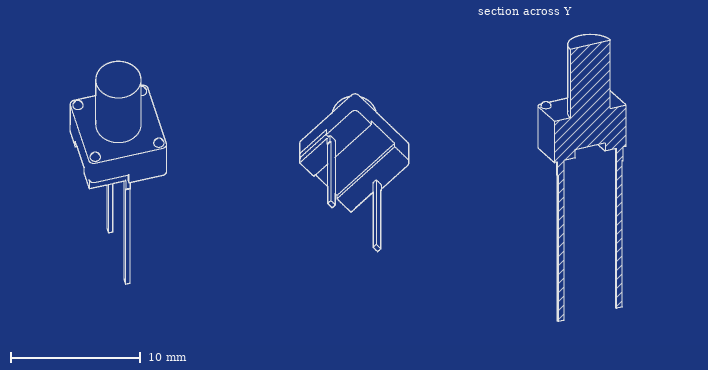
import cadquery as cq

total_height = 23.28
housing_side = 6.2
housing_height = 3.59
corner_radius = 0.4
plunger_diameter = 3.5
plunger_height = 5.91

stud_radius = 0.4
stud_spacing = 5.08

recess_height = 1.05
recess_depth = 0.25

channel_width = 2.55
channel_height = 0.7

leg_length = total_height - plunger_height - housing_height
leg_thickness = 0.35
leg_inner_x = 2.25
shoulder_outer_x = housing_side / 2 - recess_depth
shoulder_step = 0.07
shoulder_length = 1.19


def box_between(low, high):
    """Axis-aligned box between two opposite corners."""
    size = [b - a for a, b in zip(low, high)]
    return cq.Workplane("XY").box(*size, centered=False).translate(low)


def make_housing():
    half = housing_side / 2
    inner_half = half - recess_depth
    housing = (
        cq.Workplane("XY")
        .rect(housing_side, housing_side)
        .extrude(housing_height)
        .edges("|Z")
        .fillet(corner_radius)
    )
    lower_front = box_between((-half, -half, 0), (half, 0, recess_height))
    narrow_block = box_between((-inner_half, -half, 0), (inner_half, 0, recess_height))
    housing = housing.cut(lower_front).union(narrow_block)
    channel = box_between(
        (-channel_width / 2, -half, 0), (channel_width / 2, half, channel_height)
    )
    return housing.cut(channel)


def make_plunger():
    return (
        cq.Workplane("XY")
        .workplane(offset=housing_height)
        .circle(plunger_diameter / 2)
        .extrude(plunger_height)
    )


def make_studs():
    return (
        cq.Workplane("XY")
        .workplane(offset=housing_height)
        .rarray(stud_spacing, stud_spacing, 2, 2)
        .sphere(stud_radius)
    )


def make_leg():
    """Leg on the +X side."""
    half = leg_thickness / 2
    blade_outer_x = shoulder_outer_x - shoulder_step
    blade = box_between((leg_inner_x, -half, -leg_length), (blade_outer_x, half, 0))
    shoulder = box_between((leg_inner_x, -half, -shoulder_length), (shoulder_outer_x, half, 0))
    return blade.union(shoulder)


leg = make_leg()
result = (
    make_housing()
    .union(make_plunger())
    .union(make_studs())
    .union(leg)
    .union(leg.mirror("YZ"))
)